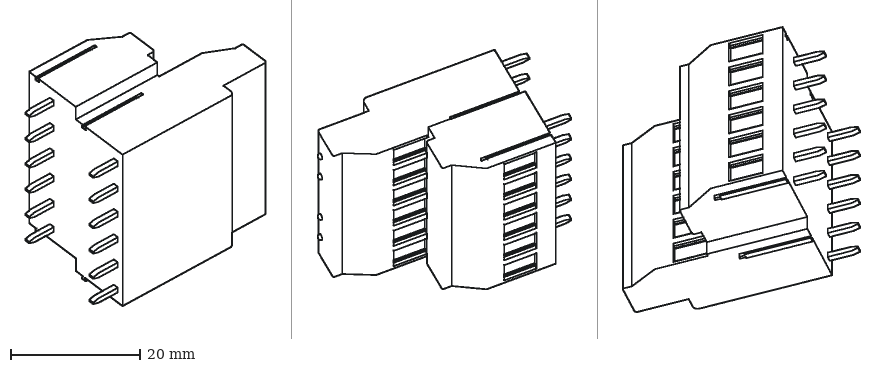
import cadquery as cq


pole_count = 6
housing_length = 30.5
pitch = housing_length / pole_count
stagger = pitch / 2
low_base_z = stagger
tall_base_z = 0.0

total_width = 22.3
total_length = 37.0
split_x = total_width / 2
shelf_y = 16.58

low_slope_start_y = 11.85
low_slope_end_y = 16.45
low_crown_x = (2.9, 8.8)
low_top_y = 18.05

tall_wall_x = 11.58
tall_slope_start_y = 25.27
tall_slope_end_y = 29.95
tall_crown_x = (14.0, 19.72)
tall_top_y = 31.5
back_step_y = 22.68

crown_front_radius = 0.3
crown_back_radius = 0.45
back_step_radius = 0.85
slope_edge_radius = 0.4

window_height = 3.85
window_depth = 0.6
inner_recess_height = 2.95
inner_recess_depth = 0.2
low_window_y = (3.3, 8.85)
tall_window_y = (shelf_y, 22.27)

rib_center_from_wall = 1.92
rib_height = 0.6
rib_neck_width = 0.45
rib_head_width = 0.9
dovetail_length = 10.9
neck_length = 11.88
groove_depth = 0.65

pin_length = 5.0
pin_width = 0.95
pin_thickness = 0.92
pin_taper_length = 1.07
pin_tip_thickness = 0.3
pin_root = 0.75
low_pin_x = 5.48
tall_pin_x = 20.72

dome_height = total_length - pin_length - tall_top_y
dome_base_radius = 0.5
dome_x = 18.43
dome_poles = (1, 2, 4, 5)


def box(x_range, y_range, z_range):
    """Axis-aligned box from three (low, high) ranges."""
    size = [high - low for low, high in (x_range, y_range, z_range)]
    corner = (x_range[0], y_range[0], z_range[0])
    return cq.Workplane("XY").box(*size, centered=False).translate(corner)


def round_edge(body, x, y, radius):
    """Fillet the Z-parallel edge that passes through (x, y)."""
    margin = 0.05
    selector = cq.selectors.BoxSelector(
        (x - margin, y - margin, -housing_length),
        (x + margin, y + margin, 2 * housing_length),
    )
    return body.edges("|Z").edges(selector).fillet(radius)


def low_housing():
    """Low front housing with its sloped shoulder and crown."""
    outline = [
        (0, 0),
        (split_x, 0),
        (split_x, shelf_y),
        (low_crown_x[1], shelf_y),
        (low_crown_x[1], low_top_y),
        (low_crown_x[0], low_top_y),
        (low_crown_x[0], low_slope_end_y),
        (0, low_slope_start_y),
    ]
    body = cq.Workplane("XY").polyline(outline).close().extrude(housing_length).translate((0, 0, low_base_z))
    body = round_edge(body, low_crown_x[0], low_top_y, crown_front_radius)
    body = round_edge(body, low_crown_x[1], low_top_y, crown_back_radius)
    return round_edge(body, 0, low_slope_start_y, slope_edge_radius)


def tall_housing():
    """Tall rear housing with its sloped shoulder, crown and back step."""
    outline = [
        (split_x, 0),
        (total_width, 0),
        (total_width, back_step_y),
        (tall_crown_x[1], back_step_y),
        (tall_crown_x[1], tall_top_y),
        (tall_crown_x[0], tall_top_y),
        (tall_crown_x[0], tall_slope_end_y),
        (tall_wall_x, tall_slope_start_y),
        (tall_wall_x, shelf_y),
        (split_x, shelf_y),
    ]
    body = cq.Workplane("XY").polyline(outline).close().extrude(housing_length).translate((0, 0, tall_base_z))
    body = round_edge(body, tall_crown_x[0], tall_top_y, crown_front_radius)
    body = round_edge(body, tall_crown_x[1], tall_top_y, crown_back_radius)
    body = round_edge(body, total_width, back_step_y, back_step_radius)
    return round_edge(body, tall_wall_x, tall_slope_start_y, slope_edge_radius)


def pole_centers(base_z):
    """Z positions of the pole centres of one housing."""
    return [base_z + (pole + 0.5) * pitch for pole in range(pole_count)]


def centered_range(center, size):
    return (center - size / 2, center + size / 2)


def windows(wall_x, y_range, base_z):
    """Stepped wire entry pockets cut into a wall that faces -X."""
    floor_x = wall_x + window_depth
    cutter = cq.Workplane("XY")
    for z in pole_centers(base_z):
        cutter = cutter.add(box((wall_x, floor_x), y_range, centered_range(z, window_height)))
        recess_x = (wall_x, floor_x + inner_recess_depth)
        cutter = cutter.add(box(recess_x, y_range, centered_range(z, inner_recess_height)))
    return cutter.combine()


def dovetail(center_x, root_z, height):
    """Dovetail bar along Y that hangs down from root_z, with a plain neck at its inner end."""
    neck = rib_neck_width / 2
    head = rib_head_width / 2
    mid_z = root_z - height / 2
    low_z = root_z - height
    section = [
        (center_x - neck, root_z),
        (center_x + neck, root_z),
        (center_x + head, mid_z),
        (center_x + head, low_z),
        (center_x - head, low_z),
        (center_x - head, mid_z),
    ]
    bar = cq.Workplane("XZ").polyline(section).close().extrude(-dovetail_length)
    return bar.union(box(centered_range(center_x, rib_neck_width), (0, neck_length), (low_z, root_z)))


def pins(center_x, base_z):
    """Row of flat pins with tips tapered in Z."""
    half = pin_thickness / 2
    half_tip = pin_tip_thickness / 2
    taper_y = pin_taper_length - pin_length
    row = cq.Workplane("XY")
    for z in pole_centers(base_z):
        side = [
            (pin_root, z - half),
            (pin_root, z + half),
            (taper_y, z + half),
            (-pin_length, z + half_tip),
            (-pin_length, z - half_tip),
            (taper_y, z - half),
        ]
        pin = cq.Workplane("YZ").polyline(side).close().extrude(pin_width / 2, both=True)
        row = row.add(pin.translate((center_x, 0, 0)))
    return row.combine()


def domes():
    """Spherical caps on the tall crown."""
    radius = (dome_base_radius**2 + dome_height**2) / (2 * dome_height)
    center_y = tall_top_y + dome_height - radius
    row = cq.Workplane("XY")
    for pole in dome_poles:
        center = (dome_x, center_y, tall_base_z + pole * pitch)
        row = row.add(cq.Workplane("XY").sphere(radius).translate(center))
    return row.combine()


result = low_housing().union(tall_housing())
result = result.cut(windows(0, low_window_y, low_base_z))
result = result.cut(windows(tall_wall_x, tall_window_y, tall_base_z))

for wall_x, base_z in ((0, low_base_z), (split_x, tall_base_z)):
    rib_x = wall_x + rib_center_from_wall
    result = result.union(dovetail(rib_x, base_z, rib_height))
    result = result.cut(dovetail(rib_x, base_z + housing_length, groove_depth))

result = result.union(pins(low_pin_x, low_base_z)).union(pins(tall_pin_x, tall_base_z)).union(domes())